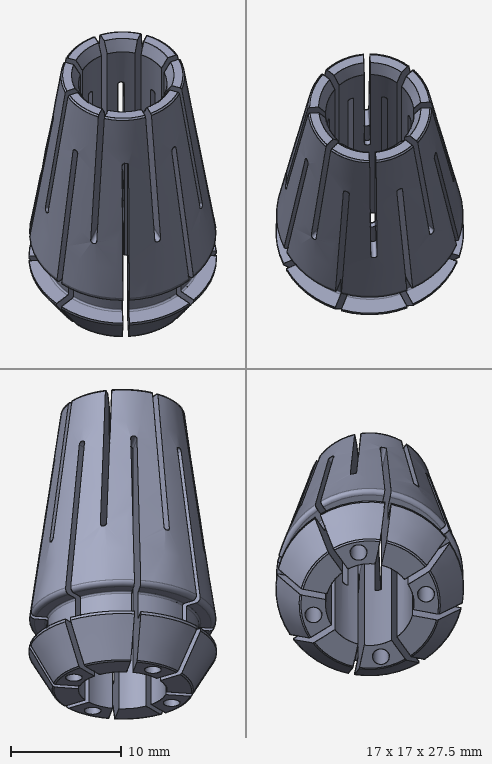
import cadquery as cq
import math

height = 27.5
bore_diameter = 8.0
bore_radius = bore_diameter / 2

cone_half_angle = 8.0
cone_bottom = 6.65
cone_top_radius = 5.58
cone_edge_round = 0.45
top_chamfer = 0.15

flange_radius = 8.5
flange_top = 4.02
flange_rim_height = 0.28
flange_half_angle = 30.0
groove_radius = 6.9
groove_corner_radius = 0.16
bottom_chamfer = 0.1

entry_half_angle = 30.0
entry_depth = 1.1

slot_count = 8
slot_width = 0.58
low_slot_top = 22.5
high_slot_bottom = 12.98

relief_count = 4
relief_diameter = 1.5
relief_circle_radius = 5.2
relief_top = high_slot_bottom + slot_width / 2
first_relief_angle = 67.5

pitch_angle = 360 / slot_count

cut_margin = 1.38
select_margin = 0.05


def make_body():
    """Revolved outside of the collet, with its edges finished."""
    cone_bottom_radius = cone_top_radius + (height - cone_bottom) * math.tan(math.radians(cone_half_angle))
    flange_rim_bottom = flange_top - flange_rim_height
    flange_bottom_radius = flange_radius - flange_rim_bottom * math.tan(math.radians(flange_half_angle))
    body = (
        cq.Workplane("XZ")
        .moveTo(0, 0)
        .lineTo(flange_bottom_radius, 0)
        .lineTo(flange_radius, flange_rim_bottom)
        .lineTo(flange_radius, flange_top)
        .lineTo(groove_radius, flange_top)
        .lineTo(groove_radius, cone_bottom)
        .lineTo(cone_bottom_radius, cone_bottom)
        .lineTo(cone_top_radius, height)
        .lineTo(0, height)
        .close()
        .revolve(360, (0, 0, 0), (0, 1, 0))
    )
    reach = groove_radius + select_margin
    groove_zone = cq.selectors.BoxSelector(
        (-reach, -reach, flange_top - select_margin),
        (reach, reach, cone_bottom + select_margin),
        boundingbox=True,
    )
    cone_bottom_plane = cq.selectors.BoxSelector(
        (-select_margin, -select_margin, cone_bottom - select_margin),
        (select_margin, select_margin, cone_bottom + select_margin),
    )
    body = body.faces(">Z").edges().chamfer(top_chamfer)
    body = body.faces("<Z").edges().chamfer(bottom_chamfer)
    body = body.edges(groove_zone).edges("%CIRCLE").fillet(groove_corner_radius)
    widest = cq.selectors.RadiusNthSelector(-1)
    return body.edges("%CIRCLE").edges(cone_bottom_plane).edges(widest).fillet(cone_edge_round)


def make_bore():
    """Through bore with a conical entry at the top."""
    entry_radius = bore_radius + entry_depth * math.tan(math.radians(entry_half_angle))
    return (
        cq.Workplane("XZ")
        .moveTo(0, 0)
        .lineTo(bore_radius, 0)
        .lineTo(bore_radius, height - entry_depth)
        .lineTo(entry_radius, height)
        .lineTo(0, height)
        .close()
        .revolve(360, (0, 0, 0), (0, 1, 0))
    )


def make_slot(round_end, open_end, angle):
    """Radial slot from the axis outward, with one rounded end."""
    half_width = slot_width / 2
    toward_open = math.copysign(1, open_end - round_end)
    arc_start = round_end + toward_open * half_width
    return (
        cq.Workplane("YZ")
        .moveTo(-half_width, open_end)
        .lineTo(-half_width, arc_start)
        .threePointArc((0, round_end), (half_width, arc_start))
        .lineTo(half_width, open_end)
        .close()
        .extrude(flange_radius + cut_margin)
        .rotate((0, 0, 0), (0, 0, 1), angle)
    )


def make_relief_holes():
    """Blind axial holes in the wall, opening at the bottom face."""
    return (
        cq.Workplane("XY")
        .polarArray(relief_circle_radius, first_relief_angle, 360, relief_count)
        .circle(relief_diameter / 2)
        .extrude(relief_top)
    )


result = make_body().cut(make_bore()).cut(make_relief_holes())
for index in range(slot_count):
    low_angle = index * pitch_angle
    high_angle = low_angle + pitch_angle / 2
    result = result.cut(make_slot(low_slot_top, -cut_margin, low_angle))
    result = result.cut(make_slot(high_slot_bottom, height + cut_margin, high_angle))